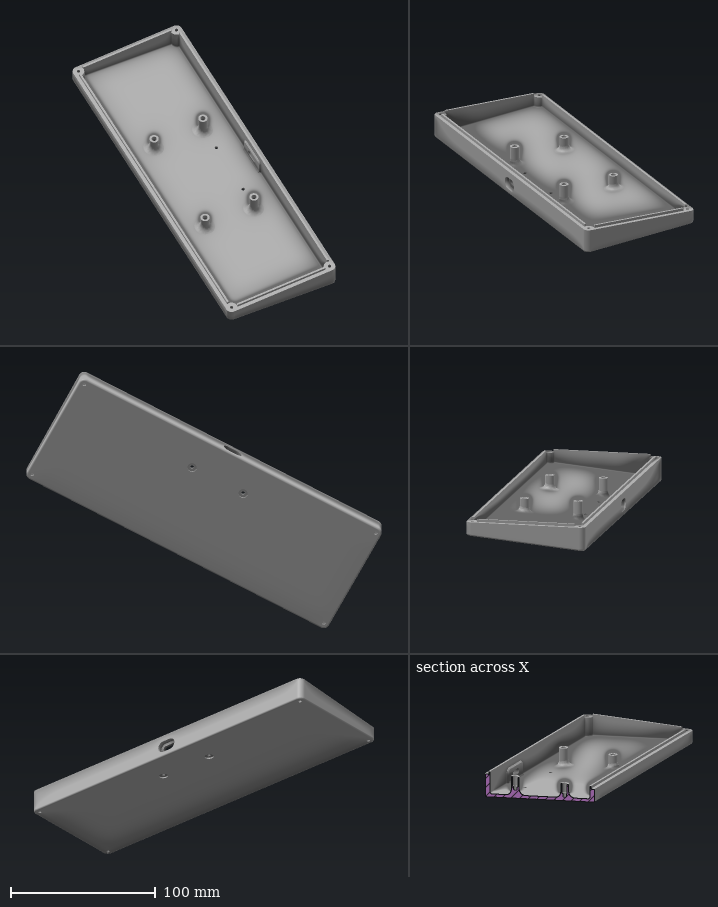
import cadquery as cq
import math

length = 236.8
width = 84.5
total_height = 18.7
lip_height = 2.0
rim_z = total_height - lip_height
corner_radius = 4.0
bottom_fillet = 1.2
floor_angle = 5.0

wall = 4.0
floor_thickness = 2.5
floor_fillet = 1.0
lip_inset = 2.5

screw_hole_diameter = 2.4
screw_boss_diameter = 8.0
screw_boss_blend = 0.7

post_spacing_x = 76.3
post_spacing_y = 38.1
post_top_z = 17.8
post_diameter = 6.5
post_fillet = 4.0
post_hole_diameter = 3.5
post_hole_depth = 7.0
post_pilot_diameter = 2.4
post_pilot_depth = 9.5

floor_hole_spacing = 40.0
floor_hole_y = 20.0
floor_hole_diameter = 2.4
counterbore_diameter = 6.5
counterbore_depth = 1.0

pad_length = 24.5
pad_top_z = 13.5
pad_thickness = 1.2
pad_corner_radius = 3.5
pad_chamfer = 1.0

slot_length = 10.0
slot_height = 4.3
slot_z = 7.8
recess_length = 14.2
recess_height = 8.5
recess_depth = 3.3

slope = math.tan(math.radians(floor_angle))
back_y = width / 2
front_y = -width / 2
pad_face_y = back_y - wall - pad_thickness
underside_back_z = -bottom_fillet * (1 / math.cos(math.radians(floor_angle)) + slope - 1)


def four_points(spacing_x, spacing_y):
    """Corners of a rectangle centred on the Z axis."""
    return [(sx * spacing_x / 2, sy * spacing_y / 2) for sx in (-1, 1) for sy in (-1, 1)]


corner_points = four_points(length - 2 * corner_radius, width - 2 * corner_radius)
post_points = four_points(post_spacing_x, post_spacing_y)


def underside_z(y):
    """Height of the sloping underside at a given Y."""
    return underside_back_z + (back_y - y) * slope


def floor_z(y):
    """Height of the sloping cavity floor at a given Y."""
    return underside_z(y) + floor_thickness


def wedge(offset, top_z):
    """Block between the underside plane, raised by offset, and a level top."""
    profile = [
        (front_y, underside_z(front_y) + offset),
        (back_y, underside_z(back_y) + offset),
        (back_y, top_z),
        (front_y, top_z),
    ]
    return cq.Workplane("YZ").polyline(profile).close().extrude(length / 2, both=True)


def plate(inset, bottom_z, top_z):
    """Level block set in from the outer sides."""
    sketch = cq.Workplane("XY", origin=(0, 0, bottom_z)).rect(length - 2 * inset, width - 2 * inset)
    return sketch.extrude(top_z - bottom_z)


def cylinders(points, diameter, bottom_z, top_z):
    """Equal vertical cylinders at the given XY points."""
    sketch = cq.Workplane("XY", origin=(0, 0, bottom_z)).pushPoints(points).circle(diameter / 2)
    return sketch.extrude(top_z - bottom_z)


def make_body():
    """Solid outer wedge with rounded corners and a rounded bottom edge."""
    body = wedge(0, rim_z).edges("|Z").fillet(corner_radius)
    return body.faces("<Z").edges().fillet(bottom_fillet)


def make_cavity():
    """Hollow of the tray, leaving a blended boss in each corner."""
    cavity = wedge(floor_thickness, total_height).intersect(plate(wall, 0, total_height))
    cavity = cavity.cut(cylinders(corner_points, screw_boss_diameter, 0, total_height))
    cavity = cavity.edges("|Z").fillet(screw_boss_blend)
    return cavity.faces("<Z").edges().fillet(floor_fillet)


def make_lip():
    """Raised lip around the opening, interrupted at the corner bosses."""
    lip = plate(lip_inset, rim_z, total_height).cut(plate(wall, rim_z, total_height))
    return lip.cut(cylinders(corner_points, screw_boss_diameter, rim_z, total_height))


def make_pad():
    """Chamfered pad on the back wall, with a bevelled foot along the floor."""
    embedded_depth = pad_thickness + wall / 2
    pad = cq.Workplane("XY").box(pad_length, embedded_depth, pad_top_z, centered=(True, False, False))
    pad = pad.edges("|Y and >Z").fillet(pad_corner_radius)
    pad = pad.faces("<Y").edges("not <Z").chamfer(pad_chamfer)
    pad = pad.translate((0, pad_face_y, 0))

    foot_z = floor_z(pad_face_y)
    foot_profile = [
        (pad_face_y, foot_z - floor_fillet),
        (pad_face_y, foot_z + floor_fillet),
        (pad_face_y - floor_fillet, foot_z),
        (pad_face_y - floor_fillet, foot_z - floor_fillet),
    ]
    foot = cq.Workplane("YZ").polyline(foot_profile).close().extrude(pad_length / 2 - pad_chamfer, both=True)
    return pad.union(foot).intersect(wedge(floor_thickness / 2, rim_z))


def add_posts(tray):
    """Standoffs flared into the sloping floor, with stepped blind holes from the top."""
    posts = cylinders(post_points, post_diameter, 0, post_top_z)
    tray = tray.union(posts.intersect(wedge(floor_thickness / 2, post_top_z)))
    for x, y in post_points:
        low_corner = (x - post_diameter, y - post_diameter, floor_z(y) - floor_thickness / 2)
        high_corner = (x + post_diameter, y + post_diameter, floor_z(y) + floor_thickness / 2)
        tray = tray.edges(cq.selectors.BoxSelector(low_corner, high_corner)).fillet(post_fillet)
    tray = tray.cut(cylinders(post_points, post_hole_diameter, post_top_z - post_hole_depth, post_top_z))
    return tray.cut(cylinders(post_points, post_pilot_diameter, post_top_z - post_pilot_depth, post_top_z))


def make_floor_holes():
    """Counterbored holes square to the sloping underside."""
    underside = cq.Plane(
        origin=(0, floor_hole_y, underside_z(floor_hole_y)),
        xDir=(1, 0, 0),
        normal=(0, slope, 1),
    )
    centres = cq.Workplane(underside).pushPoints([(-floor_hole_spacing / 2, 0), (floor_hole_spacing / 2, 0)])
    holes = centres.circle(floor_hole_diameter / 2).extrude(2 * floor_thickness)
    return holes.union(centres.circle(counterbore_diameter / 2).extrude(counterbore_depth))


def make_socket_opening():
    """Stadium slot through the back wall and pad, recessed from outside."""
    outer_face = cq.Workplane("XZ", origin=(0, back_y, slot_z))
    slot = outer_face.slot2D(slot_length, slot_height).extrude(wall + pad_thickness + floor_fillet)
    return slot.union(outer_face.slot2D(recess_length, recess_height).extrude(recess_depth))


tray = make_body().cut(make_cavity())
tray = tray.union(make_lip()).union(make_pad())
tray = add_posts(tray)
tray = tray.cut(make_floor_holes()).cut(make_socket_opening())
result = tray.cut(cylinders(corner_points, screw_hole_diameter, 0, rim_z))